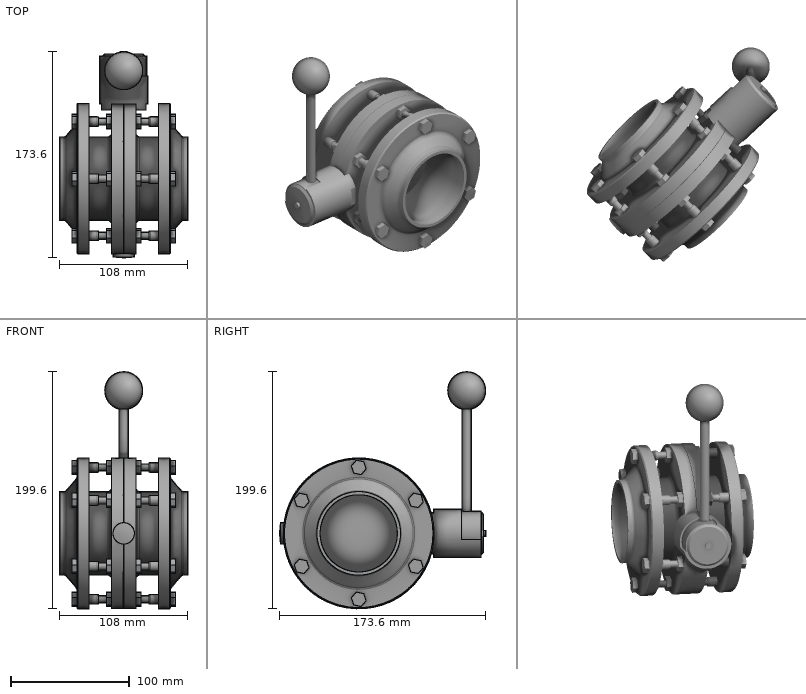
import cadquery as cq
import math


overall_length = 108.0
pipe_radius = 35.2
bore_radius = 32.5
joint_gap = 0.4
ring_outer_x = 10.5
flange_radius = 63.5
ring_radius = flange_radius
flange_inner_x = 29.2
flange_thickness = 10.3
flange_edge_chamfer = 1.0
flange_outer_x = flange_inner_x + flange_thickness
cone_base_radius = 46.4
cone_slope = math.radians(49)
ring_cone_height = 2.0
blend_radius = 1.9

screw_count = 6
screw_circle_radius = 55.5
hex_across_flats = 11.0
hex_height = 4.2
hex_turn = -12.0
shank_radius = 3.0
sleeve_radius = 4.15
sleeve_length = 8.0
sleeve_chamfer_length = 1.4
sleeve_chamfer_depth = 0.3

disc_thickness = 12.0
disc_face_radius = 350.0
stem_radius = 9.0
stem_dome_height = 0.8
stem_tip_y = -66.6

hub_start_y = 63.0
fork_start_y = 57.8
fork_half_width = 18.8
core_radius = 18.8
hub_end_y = 103.1
hub_radius = 20.4
end_cap_radius = 18.0
end_cap_height = 1.9
end_cap_chamfer = 1.85
pin_radius = 2.55
pin_length = 2.0
rod_radius = 4.0
rod_y = 90.9
slot_start_y = 86.5
slot_side_x = -8.0
slot_bottom_z = -5.2
slot_corner_radius = 1.5
ball_radius = 16.0
ball_z = 120.13


def cylinder_y(radius, start_y, end_y):
    """Cylinder on the Y axis between two Y positions."""
    base = cq.Workplane("XZ", origin=(0, start_y, 0))
    return base.circle(radius).extrude(start_y - end_y)


def hexagon(start_x):
    """Hexagon of one screw on the X axis, standing on a face at start_x."""
    corner_diameter = hex_across_flats / math.cos(math.pi / 6)
    single = (
        cq.Workplane("YZ")
        .polygon(6, corner_diameter)
        .extrude(hex_height)
        .rotate((0, 0, 0), (1, 0, 0), hex_turn)
    )
    return single.translate((start_x, 0, 0))


def screw():
    """One screw on the X axis: outer head, sleeve, shank and inner nut."""
    sleeve_end_x = flange_inner_x - sleeve_length
    sleeve = (
        cq.Workplane("YZ", origin=(sleeve_end_x, 0, 0))
        .circle(sleeve_radius)
        .extrude(sleeve_length)
        .faces("<X")
        .chamfer(sleeve_chamfer_length, sleeve_chamfer_depth)
    )
    shank = (
        cq.Workplane("YZ", origin=(ring_outer_x, 0, 0))
        .circle(shank_radius)
        .extrude(flange_inner_x - ring_outer_x)
    )
    return hexagon(flange_outer_x).union(sleeve).union(shank).union(hexagon(ring_outer_x))


def circle_at(x, radius):
    """Selector for the circular edge around the pipe axis at the given X and radius."""
    margin = 0.1
    outer = radius + margin
    inner = radius - margin
    around = cq.selectors.BoxSelector(
        (x - margin, -outer, -outer), (x + margin, outer, outer), boundingbox=True
    )
    within = cq.selectors.BoxSelector(
        (x - margin, -inner, -inner), (x + margin, inner, inner), boundingbox=True
    )
    return around - within


def pipe_with_flanges():
    """Turned half of the valve: joint ring, pipe, flange and weld cone."""
    cone_end_x = flange_outer_x + (cone_base_radius - pipe_radius) / math.tan(cone_slope)
    ring_cone_end_x = ring_outer_x + ring_cone_height / math.tan(cone_slope)
    joint_x = joint_gap / 2
    profile = (
        cq.Workplane("XY")
        .moveTo(joint_x, bore_radius)
        .lineTo(joint_x, ring_radius)
        .lineTo(ring_outer_x, ring_radius)
        .lineTo(ring_outer_x, pipe_radius + ring_cone_height)
        .lineTo(ring_cone_end_x, pipe_radius)
        .lineTo(flange_inner_x, pipe_radius)
        .lineTo(flange_inner_x, flange_radius)
        .lineTo(flange_outer_x - flange_edge_chamfer, flange_radius)
        .lineTo(flange_outer_x, flange_radius - flange_edge_chamfer)
        .lineTo(flange_outer_x, cone_base_radius)
        .lineTo(cone_end_x, pipe_radius)
        .lineTo(overall_length / 2, pipe_radius)
        .lineTo(overall_length / 2, bore_radius)
        .close()
    )
    turned = profile.revolve(360, (0, 0, 0), (1, 0, 0))

    blended_circles = [
        (ring_cone_end_x, pipe_radius),
        (flange_outer_x, cone_base_radius),
        (cone_end_x, pipe_radius),
    ]
    for x, radius in blended_circles:
        turned = turned.edges(circle_at(x, radius)).fillet(blend_radius)
    return turned


def valve_half():
    """Half of the valve on the +X side with its screws, stem hole and hub seat."""
    half = pipe_with_flanges()
    one_screw = screw()
    for index in range(screw_count):
        angle = 2 * math.pi * index / screw_count
        y = screw_circle_radius * math.sin(angle)
        z = screw_circle_radius * math.cos(angle)
        half = half.union(one_screw.translate((0, y, z)))
    half = half.cut(cylinder_y(stem_radius, -ring_radius, ring_radius))
    return half.cut(cylinder_y(hub_radius, hub_start_y, ring_radius))


def disc_and_stem():
    """Closed disc, thickest along the stem, on a stem that ends in a low dome."""
    disc = (
        cq.Workplane("YZ")
        .circle(bore_radius)
        .extrude(disc_thickness / 2, both=True)
    )
    face_axis_x = disc_face_radius - disc_thickness / 2
    for side in (-1, 1):
        face_curve = (
            cq.Workplane("XZ", origin=(side * face_axis_x, 0, 0))
            .circle(disc_face_radius)
            .extrude(bore_radius, both=True)
        )
        disc = disc.intersect(face_curve)

    dome_base_y = stem_tip_y + stem_dome_height
    dome_radius = (stem_radius**2 + stem_dome_height**2) / (2 * stem_dome_height)
    stem = (
        cq.Workplane("XY")
        .moveTo(0, hub_start_y)
        .lineTo(stem_radius, hub_start_y)
        .lineTo(stem_radius, dome_base_y)
        .radiusArc((0, stem_tip_y), dome_radius)
        .close()
        .revolve(360, (0, 0, 0), (0, 1, 0))
    )
    bore = (
        cq.Workplane("YZ")
        .circle(bore_radius)
        .extrude(overall_length / 2, both=True)
    )
    return stem.cut(bore).union(disc)


def hub_fork():
    """Two prongs below the hub that straddle the joint rings."""
    prong_width = fork_half_width - ring_outer_x
    fork_height = hub_start_y - fork_start_y
    prong_center_x = (fork_half_width + ring_outer_x) / 2
    prongs = (
        cq.Workplane("XZ", origin=(0, fork_start_y, 0))
        .pushPoints([(-prong_center_x, 0), (prong_center_x, 0)])
        .rect(prong_width, 2 * hub_radius)
        .extrude(-fork_height)
    )
    return prongs.intersect(cylinder_y(hub_radius, fork_start_y, hub_start_y))


def lever_slot():
    """Slot for the lever's quarter turn, cut into the hub down to its core."""
    slot_length = hub_end_y - slot_start_y
    quarter = (
        cq.Workplane("XY", origin=(slot_side_x, slot_start_y, slot_bottom_z))
        .box(2 * hub_radius, slot_length, 2 * hub_radius, centered=False)
        .edges("|Z and <X and <Y")
        .fillet(slot_corner_radius)
    )
    return quarter.cut(cylinder_y(core_radius, slot_start_y, hub_end_y))


def lever():
    """Forked and slotted hub with end cap and pin, carrying rod and ball."""
    end_cap_y = hub_end_y + end_cap_height
    end_cap = (
        cylinder_y(end_cap_radius, hub_end_y, end_cap_y)
        .faces(">Y")
        .chamfer(end_cap_chamfer)
    )
    hub = (
        cylinder_y(hub_radius, hub_start_y, hub_end_y)
        .cut(lever_slot())
        .union(hub_fork())
        .union(end_cap)
        .union(cylinder_y(pin_radius, end_cap_y, end_cap_y + pin_length))
    )
    rod = cq.Workplane("XY", origin=(0, rod_y, 0)).circle(rod_radius).extrude(ball_z)
    ball = cq.Workplane("XY", origin=(0, rod_y, ball_z)).sphere(ball_radius)
    return hub.union(rod).union(ball)


right_half = valve_half()
left_half = right_half.mirror("YZ")
disc_stem = disc_and_stem()
hand_lever = lever()

result = cq.Compound.makeCompound(
    [left_half.val(), right_half.val(), disc_stem.val(), hand_lever.val()]
)